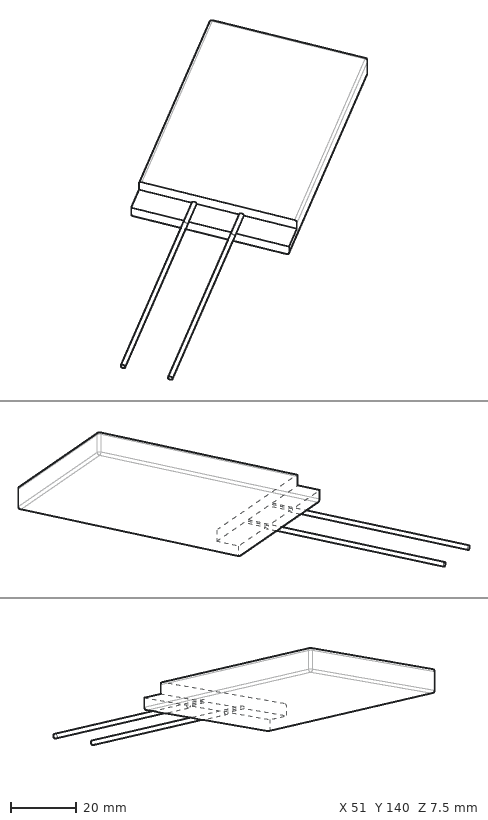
import cadquery as cq

total_length = 140.0
width = 51.0
thickness = 7.5

base_length = 77.7
cover_length = 70.0
edge_radius = 0.8
wire_diameter = 1.5
wire_spacing = 15.3
wire_embed = 2.8

back_y = total_length / 2
wire_tip_y = back_y - total_length
cover_front_y = back_y - cover_length


def rounded_body():
    """Full-thickness block, rounded on its sides, back, top and bottom edges."""
    body = cq.Workplane("XY").box(width, base_length, thickness)
    body = body.translate((0, back_y - base_length / 2, 0))
    return body.edges("|Y or >Y").fillet(edge_radius)


def ledge_cut():
    """Upper half of the front end, removed to expose the ledge of the lower plate."""
    ledge_length = base_length - cover_length
    return (
        cq.Workplane("XY", origin=(0, cover_front_y - ledge_length / 2, 0))
        .box(width, ledge_length, thickness / 2, centered=(True, True, False))
    )


def wires():
    """Two round leads whose axes lie on the parting plane of the plates."""
    return (
        cq.Workplane("XZ", origin=(0, wire_tip_y, 0))
        .pushPoints([(-wire_spacing / 2, 0), (wire_spacing / 2, 0)])
        .circle(wire_diameter / 2)
        .extrude(-(cover_front_y + wire_embed - wire_tip_y))
    )


result = rounded_body().cut(ledge_cut()).union(wires())